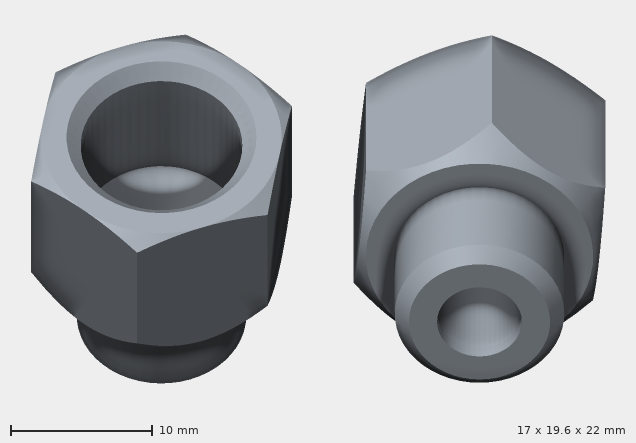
import cadquery as cq
import math

hex_sides = 6
across_flats = 17.0
across_corners = across_flats / math.cos(math.pi / hex_sides)
hex_height = 14.0
corner_direction = 90.0

top_face_diameter = across_flats
top_cone_angle = 30.0
bottom_face_diameter = 16.1
bottom_cone_angle = 55.5

spigot_diameter = 12.0
spigot_length = 8.0
spigot_chamfer = 1.0

bore_diameter = 11.445
bore_depth = 11.0
bore_chamfer = 1.0
drill_point_angle = 118.0
through_hole_diameter = 6.0

hex_bottom = spigot_length
hex_top = hex_bottom + hex_height


def make_corner_trimmer():
    """Solid of revolution whose end cones cut back the hexagon's corners."""
    corner_radius = across_corners / 2
    top_radius = top_face_diameter / 2
    bottom_radius = bottom_face_diameter / 2
    top_drop = (corner_radius - top_radius) * math.tan(math.radians(top_cone_angle))
    bottom_rise = (corner_radius - bottom_radius) * math.tan(math.radians(bottom_cone_angle))
    return (
        cq.Workplane("XZ")
        .moveTo(0, hex_bottom)
        .lineTo(bottom_radius, hex_bottom)
        .lineTo(corner_radius, hex_bottom + bottom_rise)
        .lineTo(corner_radius, hex_top - top_drop)
        .lineTo(top_radius, hex_top)
        .lineTo(0, hex_top)
        .close()
        .revolve(360, (0, 0, 0), (0, 1, 0))
    )


def make_hex_body():
    hexagon = (
        cq.Workplane("XY")
        .workplane(offset=hex_bottom)
        .transformed(rotate=(0, 0, corner_direction))
        .polygon(hex_sides, across_corners)
        .extrude(hex_height)
    )
    return hexagon.intersect(make_corner_trimmer())


def make_spigot():
    return (
        cq.Workplane("XY")
        .circle(spigot_diameter / 2)
        .extrude(spigot_length)
        .faces("<Z")
        .chamfer(spigot_chamfer)
    )


def make_bore():
    """Chamfered bore ending in a drill-point cone, with the through hole below it."""
    bore_radius = bore_diameter / 2
    hole_radius = through_hole_diameter / 2
    bore_floor = hex_top - bore_depth
    cone_height = (bore_radius - hole_radius) / math.tan(math.radians(drill_point_angle / 2))
    return (
        cq.Workplane("XZ")
        .lineTo(hole_radius, 0)
        .lineTo(hole_radius, bore_floor - cone_height)
        .lineTo(bore_radius, bore_floor)
        .lineTo(bore_radius, hex_top - bore_chamfer)
        .lineTo(bore_radius + bore_chamfer, hex_top)
        .lineTo(0, hex_top)
        .close()
        .revolve(360, (0, 0, 0), (0, 1, 0))
    )


result = make_hex_body().union(make_spigot()).cut(make_bore())